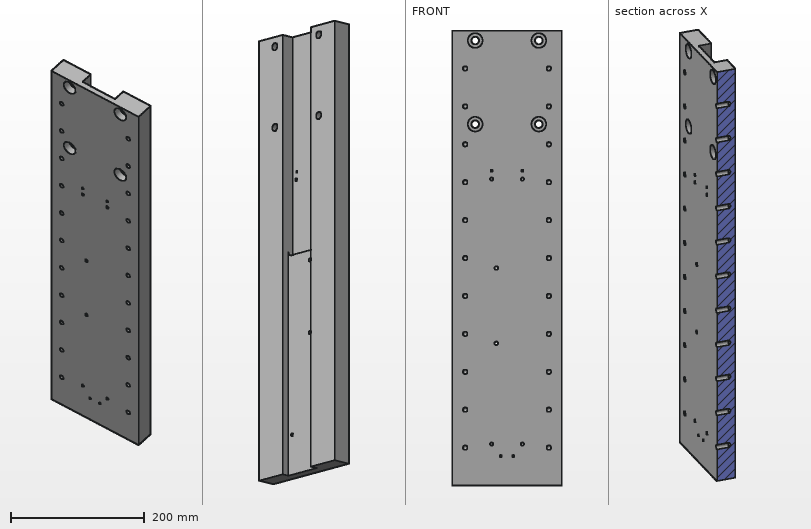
import cadquery as cq
import math

PLATE_WIDTH = 164
PLATE_THICKNESS = 30
PLATE_HEIGHT = 680

CHANNEL_WIDTH = 61
CHANNEL_FLOOR_Y = 18
POCKET_FLOOR_Y = 9.5
POCKET_END_Z = PLATE_HEIGHT / 2
POCKET_CORNER_RADIUS = 6

BOLT_HOLE_DIAMETER = 11
COUNTERBORE_DIAMETER = 22
COUNTERBORE_DEPTH = 13
BOLT_SPACING_X = 95
BOLT_SPACING_Z = 125
TOP_BOLT_MARGIN = 15

RAIL_HOLE_DIAMETER = 6.8
RAIL_HOLE_DEPTH = 20
RAIL_SPACING_X = 125
RAIL_DIVISIONS = 12

DRILL_TIP_ANGLE = 118

FRAME_HOLE_DIAMETER = 4.2
FRAME_SPACING_X = 46
FRAME_LOW_Z = 62
FRAME_HIGH_Z = 458

SIDE_HOLE_DIAMETER = 5
SIDE_HOLE_X = -16
SIDE_LOW_Z = 212.5
SIDE_SPACING_Z = 112.5

SMALL_HOLE_DIAMETER = 3.3
SMALL_HOLE_DEPTH = 8
UPPER_PAIR_Z = 470.5
LOWER_PAIR_Z = 44
LOWER_PAIR_SPACING_X = 18.5


def back_recess(floor_y, bottom_z):
    """Block running from floor_y out through the back face and from bottom_z up to the top edge."""
    return cq.Workplane("XY").box(
        CHANNEL_WIDTH,
        PLATE_THICKNESS - floor_y,
        PLATE_HEIGHT - bottom_z,
        centered=(True, False, False),
    ).translate((0, floor_y, bottom_z))


def pocket():
    """Deep recess whose closed lower end has rounded corners."""
    recess = back_recess(POCKET_FLOOR_Y, POCKET_END_Z)
    return recess.edges("|Y and <Z").fillet(POCKET_CORNER_RADIUS)


def front_holes(points, diameter, depth=PLATE_THICKNESS):
    """Cylinders bored from the front face towards +Y at the given (x, z) points."""
    return cq.Workplane("XZ").pushPoints(points).circle(diameter / 2).extrude(-depth)


def drilled_holes(points, diameter, depth):
    """Blind front holes of full diameter to the given depth, ending in a drill-tip cone."""
    radius = diameter / 2
    tip_length = radius / math.tan(math.radians(DRILL_TIP_ANGLE / 2))
    holes = front_holes(points, diameter, depth)
    for x, z in points:
        tip = cq.Solid.makeCone(radius, 0, tip_length, pnt=(x, depth, z), dir=(0, 1, 0))
        holes = holes.add(tip)
    return holes.combine()


def mirrored_pairs(spacing_x, heights):
    """Points at both sides of the plate centreline for each height."""
    return [(side * spacing_x / 2, z) for z in heights for side in (-1, 1)]


plate = cq.Workplane("XY").box(
    PLATE_WIDTH, PLATE_THICKNESS, PLATE_HEIGHT, centered=(True, False, False)
)
plate = plate.cut(back_recess(CHANNEL_FLOOR_Y, 0)).cut(pocket())

top_bolt_z = PLATE_HEIGHT - TOP_BOLT_MARGIN
bolt_points = mirrored_pairs(BOLT_SPACING_X, [top_bolt_z, top_bolt_z - BOLT_SPACING_Z])
plate = plate.cut(front_holes(bolt_points, BOLT_HOLE_DIAMETER))
plate = plate.cut(front_holes(bolt_points, COUNTERBORE_DIAMETER, COUNTERBORE_DEPTH))

rail_pitch = PLATE_HEIGHT / RAIL_DIVISIONS
rail_heights = [row * rail_pitch for row in range(1, RAIL_DIVISIONS)]
rail_points = mirrored_pairs(RAIL_SPACING_X, rail_heights)
plate = plate.cut(drilled_holes(rail_points, RAIL_HOLE_DIAMETER, RAIL_HOLE_DEPTH))

frame_points = mirrored_pairs(FRAME_SPACING_X, [FRAME_LOW_Z, FRAME_HIGH_Z])
plate = plate.cut(front_holes(frame_points, FRAME_HOLE_DIAMETER))

side_points = [(SIDE_HOLE_X, SIDE_LOW_Z), (SIDE_HOLE_X, SIDE_LOW_Z + SIDE_SPACING_Z)]
plate = plate.cut(front_holes(side_points, SIDE_HOLE_DIAMETER))

small_points = mirrored_pairs(FRAME_SPACING_X, [UPPER_PAIR_Z])
small_points += mirrored_pairs(LOWER_PAIR_SPACING_X, [LOWER_PAIR_Z])
plate = plate.cut(drilled_holes(small_points, SMALL_HOLE_DIAMETER, SMALL_HOLE_DEPTH))

result = plate